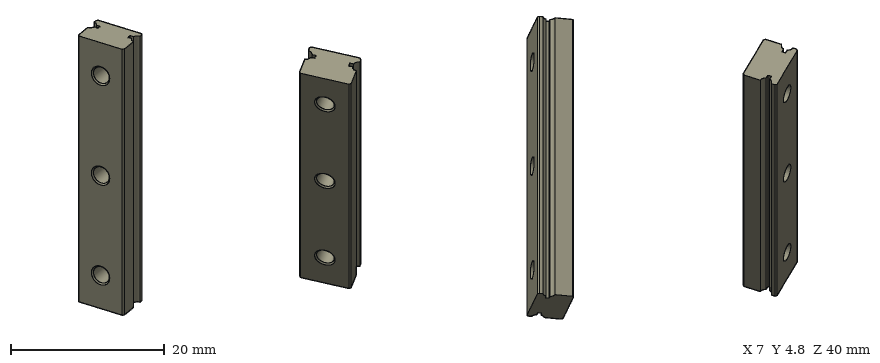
import cadquery as cq

width = 7.0
height = 4.8
length = 40.0
edge_chamfer = 0.2

groove_radius = 0.8
groove_from_back = 1.5
groove_outset = 0.1
slot_width = 0.5
slot_depth = 1.2

hole_diameter = 2.4
hole_chamfer = 0.2
hole_count = 3
hole_pitch = 15.0

half_width = width / 2
front_y = -height / 2
back_y = height / 2
groove_y = back_y - groove_from_back


def make_bar():
    """Plain bar with its four long edges chamfered."""
    bar = cq.Workplane("XY").box(width, height, length)
    return bar.edges("|Z").chamfer(edge_chamfer)


def make_side_groove(side):
    """Cutter for the groove and slot on one side: side is -1 for -X, +1 for +X."""
    face_x = side * half_width
    groove_x = face_x + side * groove_outset
    groove = cq.Workplane("XY").cylinder(length, groove_radius).translate((groove_x, groove_y, 0))
    slot = cq.Workplane("XY").box(2 * slot_depth, slot_width, length).translate((face_x, groove_y, 0))
    return groove.union(slot)


def make_mounting_hole(z):
    """Cutter for one through hole at height z, with a chamfered mouth on the front face."""
    bore_radius = hole_diameter / 2
    mouth_radius = bore_radius + hole_chamfer
    half_profile = (
        cq.Workplane("XY")
        .moveTo(0, front_y)
        .lineTo(mouth_radius, front_y)
        .lineTo(bore_radius, front_y + hole_chamfer)
        .lineTo(bore_radius, back_y)
        .lineTo(0, back_y)
        .close()
    )
    return half_profile.revolve(360, (0, 0, 0), (0, 1, 0)).translate((0, 0, z))


result = make_bar()

for side in (-1, 1):
    result = result.cut(make_side_groove(side))

for index in range(hole_count):
    hole_z = (index - (hole_count - 1) / 2) * hole_pitch
    result = result.cut(make_mounting_hole(hole_z))